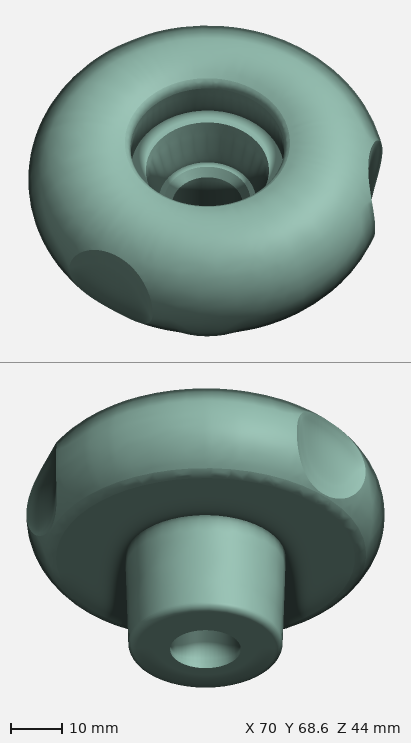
import cadquery as cq
import math

outer_radius = 35.0
total_height = 44.0

section_radius = 13.0
section_centre_radius = outer_radius - section_radius
section_centre_z = total_height - section_radius
rim_bottom_z = 21.05

hub_top_radius = 15.7
hub_bottom_radius = 15.05

pocket_radius = 30.0 / 2
pocket_floor_z = 33.9
recess_top_radius = 12.0
recess_floor_radius = 9.5
recess_floor_z = 24.6
bore_radius = 13.85 / 2
bore_chamfer = 1.5

lip_rounding = 2.0
rim_rounding = 3.0
hub_rounding = 1.5

scallop_count = 3
scallop_radius = 50.0 / 2
scallop_inner_distance = 31.55
first_scallop_angle = -90

rim_bottom_radius = section_centre_radius + math.sqrt(
    section_radius**2 - (section_centre_z - rim_bottom_z) ** 2
)
pocket_mouth_z = section_centre_z + math.sqrt(
    section_radius**2 - (section_centre_radius - pocket_radius) ** 2
)


def round_edge(body, edge_radius, edge_z, rounding):
    """Fillet the circular edge of the given radius and height around the Z axis."""
    tolerance = 0.01
    edge = body.edges("%CIRCLE").filter(
        lambda candidate: abs(candidate.radius() - edge_radius) < tolerance
        and abs(candidate.startPoint().z - edge_z) < tolerance
    )
    return edge.fillet(rounding)


def make_body():
    """Revolve the knob's half section around the Z axis."""
    half_section = (
        cq.Workplane("XZ")
        .moveTo(bore_radius, 0)
        .lineTo(hub_bottom_radius, 0)
        .lineTo(hub_top_radius, rim_bottom_z)
        .lineTo(rim_bottom_radius, rim_bottom_z)
        .threePointArc((outer_radius, section_centre_z), (pocket_radius, pocket_mouth_z))
        .lineTo(pocket_radius, pocket_floor_z)
        .lineTo(recess_top_radius, pocket_floor_z)
        .lineTo(recess_floor_radius, recess_floor_z)
        .lineTo(bore_radius + bore_chamfer, recess_floor_z)
        .lineTo(bore_radius, recess_floor_z - bore_chamfer)
        .close()
    )
    return half_section.revolve(360, (0, 0, 0), (0, 1, 0))


def make_scallops():
    """Upright cylinders that cut the finger grips."""
    centre_distance = scallop_inner_distance + scallop_radius
    return (
        cq.Workplane("XY")
        .polarArray(centre_distance, first_scallop_angle, 360, scallop_count)
        .circle(scallop_radius)
        .extrude(total_height)
    )


knob = make_body()
knob = round_edge(knob, pocket_radius, pocket_mouth_z, lip_rounding)
knob = round_edge(knob, rim_bottom_radius, rim_bottom_z, rim_rounding)
knob = round_edge(knob, hub_bottom_radius, 0, hub_rounding)
result = knob.cut(make_scallops())